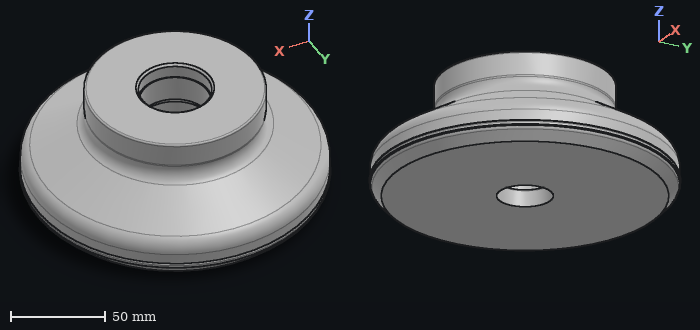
import cadquery as cq
import math

outer_radius = 82.6
total_height = 63.5

base_height = 9.9
rim_radius = 82.1
ridge_top_fillet = 1.0
ridge_bottom_height = 7.5
foot_radius = 76.3
foot_fillet = 2.1
hole_radius = 15.0
hole_fillet = 0.7

shoulder_radius = 82.3
shoulder_fillet = 9.9
shoulder_start_height = 16.2
cone_slope = math.radians(30)
cone_top_radius = 52.2
neck_fillet = 8.6
head_radius = 48.5
head_bottom_height = 48.9
head_chamfer_height = 1.0
head_fillet = 1.0

mouth_radius = 20.8
mouth_chamfer = 1.3
upper_bore_radius = mouth_radius - mouth_chamfer
upper_bore_depth = 8.5
lower_bore_radius = 19.0
lower_bore_depth = 23.3
cavity_radius = 20.7
cavity_depth = 26.3


def point_on_arc(center, radius, angle):
    """Point on a circle in the profile plane, as (distance from axis, height)."""
    return center[0] + radius * math.cos(angle), center[1] + radius * math.sin(angle)


def revolve_profile(profile):
    """Turn a closed profile in the XZ plane about the Z axis."""
    return profile.revolve(360, (0, 0), (0, 1))


def make_base():
    """Base plate with a raised ridge around its rim."""
    chamfer_angle = math.radians(-45)
    fillet_center_radius = rim_radius - foot_fillet
    fillet_start_radius = fillet_center_radius + foot_fillet * math.cos(chamfer_angle)
    fillet_start_height = fillet_start_radius - foot_radius
    fillet_center = (fillet_center_radius, fillet_start_height - foot_fillet * math.sin(chamfer_angle))

    ridge_width = outer_radius - rim_radius
    ridge_fillet_center = (outer_radius - ridge_top_fillet, base_height - ridge_top_fillet)

    hole_fillet_center = (hole_radius + hole_fillet, base_height - hole_fillet)

    profile = (
        cq.Workplane("XZ")
        .moveTo(hole_radius, 0)
        .lineTo(foot_radius, 0)
        .lineTo(fillet_start_radius, fillet_start_height)
        .threePointArc(
            point_on_arc(fillet_center, foot_fillet, chamfer_angle / 2),
            point_on_arc(fillet_center, foot_fillet, 0),
        )
        .lineTo(rim_radius, ridge_bottom_height - ridge_width)
        .lineTo(outer_radius, ridge_bottom_height)
        .lineTo(outer_radius, ridge_fillet_center[1])
        .threePointArc(
            point_on_arc(ridge_fillet_center, ridge_top_fillet, math.radians(45)),
            point_on_arc(ridge_fillet_center, ridge_top_fillet, math.radians(90)),
        )
        .lineTo(hole_fillet_center[0], base_height)
        .threePointArc(
            point_on_arc(hole_fillet_center, hole_fillet, math.radians(135)),
            point_on_arc(hole_fillet_center, hole_fillet, math.radians(180)),
        )
        .close()
    )
    return revolve_profile(profile)


def make_housing():
    """Bell-shaped housing with a stepped bore that widens into a cavity above the base."""
    cone_normal = math.radians(90) - cone_slope
    shoulder_center = (shoulder_radius - shoulder_fillet, shoulder_start_height)
    cone_bottom = point_on_arc(shoulder_center, shoulder_fillet, cone_normal)

    cone_rise = (cone_bottom[0] - cone_top_radius) * math.tan(cone_slope)
    cone_top = (cone_top_radius, cone_bottom[1] + cone_rise)
    neck_center = point_on_arc(cone_top, neck_fillet, cone_normal)
    neck_top_angle = math.pi - math.asin((head_bottom_height - neck_center[1]) / neck_fillet)

    head_fillet_center = (head_radius - head_fillet, total_height - head_fillet)

    profile = (
        cq.Workplane("XZ")
        .moveTo(cavity_radius, base_height)
        .lineTo(shoulder_radius, base_height)
        .lineTo(shoulder_radius, shoulder_start_height)
        .threePointArc(point_on_arc(shoulder_center, shoulder_fillet, cone_normal / 2), cone_bottom)
        .lineTo(*cone_top)
        .threePointArc(
            point_on_arc(neck_center, neck_fillet, math.pi),
            point_on_arc(neck_center, neck_fillet, neck_top_angle),
        )
        .lineTo(head_radius, head_bottom_height + head_chamfer_height)
        .lineTo(head_radius, head_fillet_center[1])
        .threePointArc(
            point_on_arc(head_fillet_center, head_fillet, math.radians(45)),
            point_on_arc(head_fillet_center, head_fillet, math.radians(90)),
        )
        .lineTo(mouth_radius, total_height)
        .lineTo(upper_bore_radius, total_height - mouth_chamfer)
        .lineTo(upper_bore_radius, total_height - upper_bore_depth)
        .lineTo(lower_bore_radius, total_height - upper_bore_depth)
        .lineTo(lower_bore_radius, total_height - lower_bore_depth)
        .lineTo(cavity_radius, total_height - cavity_depth)
        .close()
    )
    return revolve_profile(profile)


base = make_base()
housing = make_housing()

result = cq.Compound.makeCompound([base.val(), housing.val()])